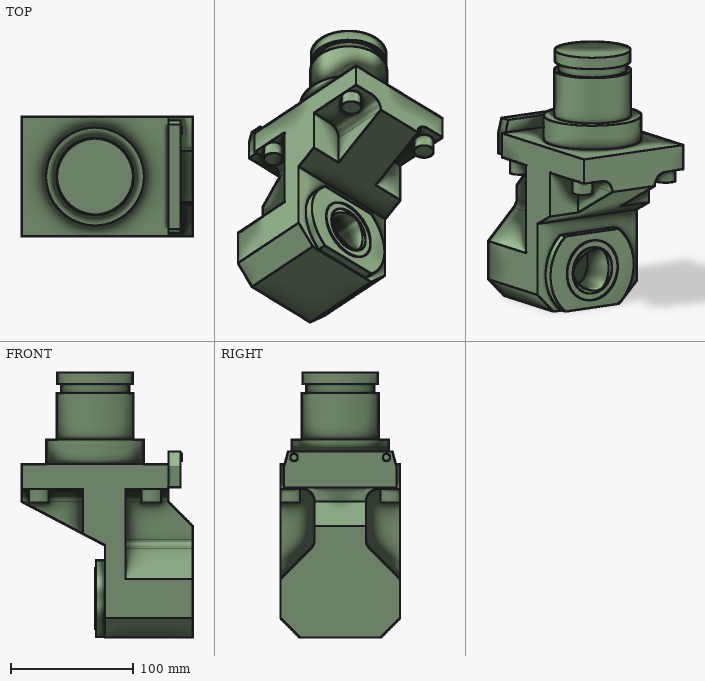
import cadquery as cq
import math


SHANK_STEPS = [(80, 20), (63.08, 58), (56, 65.5), (62, 75)]

PLATE_LENGTH = 120
WIDTH = 98
PLATE_THICKNESS = 20.3

BODY_BOTTOM = -142
HEAD_FRONT_X = 8
HEAD_BACK_X = 80
SLOPE_START_Z = -30.8
FRONT_SLOPE_END_Z = -66.5
BOTTOM_CHAMFER = 16

WEB_WIDTH = 42
POCKET_RADIUS = 10.5
FRONT_POCKET_END_X = -10
BACK_POCKET_START_X = 25
POCKET_RAMP_BOTTOM_Z = -94
RAMP_RADIUS = 10
RAMP_ANGLE = math.radians(45)

SOCKET_Z = -110
COLLAR_DIAMETER = 82
COLLAR_HEIGHT = 63
COLLAR_FACE_X = 0.7
RIM_DIAMETER = 50
RIM_FACE_X = 0
SOCKET_MOUTH_DIAMETER = 38.62
SOCKET_MOUTH_DEPTH = 0.5
POLYGON_MEAN_DIAMETER = 35
POLYGON_ECCENTRICITY = 1.4
POLYGON_POINTS = 48
POLYGON_DEPTH = 30
POLYGON_TAPER = 1 / 20

SCREW_DIAMETER = 16
SCREW_HEIGHT = 11.2
SCREW_X = 46

STRIP_THICKNESS = 10
STRIP_BOTTOM_Z = -19
STRIP_SHOULDER_Z = -2
STRIP_TOP_Z = 10.3
STRIP_WIDTH = 92
STRIP_TOP_WIDTH = 85.5

BUTTON_DIAMETER = 6
BUTTON_HEIGHT = 1.3
BUTTON_Y = 37.8
BUTTON_Z = 5.5

HALF_LENGTH = PLATE_LENGTH / 2
HALF_WIDTH = WIDTH / 2
HALF_WEB = WEB_WIDTH / 2
PLATE_BOTTOM_Z = -PLATE_THICKNESS


def x_cylinder(diameter, x_start, x_end, y, z):
    """Cylinder along X between two X positions."""
    plane = cq.Workplane("YZ", origin=(x_start, y, z))
    return plane.circle(diameter / 2).extrude(x_end - x_start)


def make_shank():
    shank = cq.Workplane("XY")
    bottom = 0
    for diameter, top in SHANK_STEPS:
        step = cq.Workplane("XY", origin=(0, 0, bottom)).circle(diameter / 2).extrude(top - bottom)
        shank = shank.union(step)
        bottom = top
    return shank


def make_body():
    """Plate and head as one side outline, with the lower long edges chamfered."""
    back_slope = HEAD_BACK_X - HALF_LENGTH
    outline = [
        (-HALF_LENGTH, 0),
        (HALF_LENGTH, 0),
        (HALF_LENGTH, SLOPE_START_Z),
        (HEAD_BACK_X, SLOPE_START_Z - back_slope),
        (HEAD_BACK_X, BODY_BOTTOM),
        (HEAD_FRONT_X, BODY_BOTTOM),
        (HEAD_FRONT_X, FRONT_SLOPE_END_Z),
        (-HALF_LENGTH, SLOPE_START_Z),
    ]
    body = cq.Workplane("XZ").polyline(outline).close().extrude(HALF_WIDTH, both=True)
    return body.faces("<Z").edges("|X").chamfer(BOTTOM_CHAMFER)


def pocket_start(x_start):
    """Pocket outline from the outer side along the plate and round into the web."""
    corner_offset = POCKET_RADIUS * (1 - math.sqrt(0.5))
    return (
        cq.Workplane("YZ", origin=(x_start, 0, 0))
        .moveTo(HALF_WIDTH, PLATE_BOTTOM_Z)
        .lineTo(HALF_WEB + POCKET_RADIUS, PLATE_BOTTOM_Z)
        .threePointArc(
            (HALF_WEB + corner_offset, PLATE_BOTTOM_Z - corner_offset),
            (HALF_WEB, PLATE_BOTTOM_Z - POCKET_RADIUS),
        )
    )


def make_front_pocket():
    """Pocket running out through the front slope."""
    pocket = (
        pocket_start(-HALF_LENGTH)
        .lineTo(HALF_WEB, BODY_BOTTOM)
        .lineTo(HALF_WIDTH, BODY_BOTTOM)
        .close()
    )
    return pocket.extrude(FRONT_POCKET_END_X + HALF_LENGTH)


def make_back_pocket():
    """Pocket with a 45 degree ramp at the bottom, rounded into the web."""
    ramp_top_z = POCKET_RAMP_BOTTOM_Z + (HALF_WIDTH - HALF_WEB) / math.tan(RAMP_ANGLE)
    arc_start_z = ramp_top_z + RAMP_RADIUS * math.tan(RAMP_ANGLE / 2)

    def ramp_arc_point(turn):
        y = HALF_WEB + RAMP_RADIUS * (1 - math.cos(turn))
        z = arc_start_z - RAMP_RADIUS * math.sin(turn)
        return y, z

    pocket = (
        pocket_start(BACK_POCKET_START_X)
        .lineTo(HALF_WEB, arc_start_z)
        .threePointArc(ramp_arc_point(RAMP_ANGLE / 2), ramp_arc_point(RAMP_ANGLE))
        .lineTo(HALF_WIDTH, POCKET_RAMP_BOTTOM_Z)
        .close()
    )
    return pocket.extrude(HEAD_BACK_X - BACK_POCKET_START_X)


def make_collar():
    """Round collar with flat top and bottom, carrying a thin round rim."""
    collar = x_cylinder(COLLAR_DIAMETER, COLLAR_FACE_X, HEAD_FRONT_X, 0, SOCKET_Z)
    flats = cq.Workplane("XY", origin=(0, 0, SOCKET_Z)).box(
        COLLAR_DIAMETER, COLLAR_DIAMETER, COLLAR_HEIGHT
    )
    rim = x_cylinder(RIM_DIAMETER, RIM_FACE_X, HEAD_FRONT_X, 0, SOCKET_Z)
    return collar.intersect(flats).union(rim)


def polygon_point(mean_diameter, angle):
    """Point of a three-lobed curve of constant width, with one lobe toward +Y."""
    support = mean_diameter / 2 + POLYGON_ECCENTRICITY * math.cos(3 * angle)
    slope = -3 * POLYGON_ECCENTRICITY * math.sin(3 * angle)
    y = support * math.cos(angle) - slope * math.sin(angle)
    z = support * math.sin(angle) + slope * math.cos(angle)
    return y, z


def polygon_points(mean_diameter):
    angles = [2 * math.pi * i / POLYGON_POINTS for i in range(POLYGON_POINTS)]
    return [polygon_point(mean_diameter, angle) for angle in angles]


def make_socket():
    """Tapered three-lobed blind socket with a round mouth."""
    mouth_end_x = RIM_FACE_X + SOCKET_MOUTH_DEPTH
    mouth = x_cylinder(SOCKET_MOUTH_DIAMETER, RIM_FACE_X, mouth_end_x, 0, SOCKET_Z)
    bore_length = POLYGON_DEPTH - SOCKET_MOUTH_DEPTH
    floor_diameter = POLYGON_MEAN_DIAMETER - POLYGON_TAPER * bore_length
    bore = (
        cq.Workplane("YZ", origin=(mouth_end_x, 0, SOCKET_Z))
        .spline(polygon_points(POLYGON_MEAN_DIAMETER), periodic=True)
        .close()
        .workplane(offset=bore_length)
        .spline(polygon_points(floor_diameter), periodic=True)
        .close()
        .loft(ruled=True)
    )
    return mouth.union(bore)


def make_screw_heads():
    screw_y = HALF_WIDTH - SCREW_DIAMETER / 2
    return (
        cq.Workplane("XY", origin=(0, 0, PLATE_BOTTOM_Z))
        .rect(2 * SCREW_X, 2 * screw_y, forConstruction=True)
        .vertices()
        .circle(SCREW_DIAMETER / 2)
        .extrude(-SCREW_HEIGHT)
    )


def make_strip():
    """Cover strip with tapered upper ends and two button heads."""
    half = STRIP_WIDTH / 2
    half_top = STRIP_TOP_WIDTH / 2
    outline = [
        (-half, STRIP_BOTTOM_Z),
        (half, STRIP_BOTTOM_Z),
        (half, STRIP_SHOULDER_Z),
        (half_top, STRIP_TOP_Z),
        (-half_top, STRIP_TOP_Z),
        (-half, STRIP_SHOULDER_Z),
    ]
    plane = cq.Workplane("YZ", origin=(HALF_LENGTH, 0, 0))
    strip = plane.polyline(outline).close().extrude(STRIP_THICKNESS)
    strip_back_x = HALF_LENGTH + STRIP_THICKNESS
    for y in (-BUTTON_Y, BUTTON_Y):
        button = x_cylinder(BUTTON_DIAMETER, strip_back_x, strip_back_x + BUTTON_HEIGHT, y, BUTTON_Z)
        strip = strip.union(button)
    return strip


result = make_body()
for pocket in (make_front_pocket(), make_back_pocket()):
    result = result.cut(pocket).cut(pocket.mirror("XZ"))
for addition in (make_shank(), make_collar(), make_screw_heads(), make_strip()):
    result = result.union(addition)
result = result.cut(make_socket())